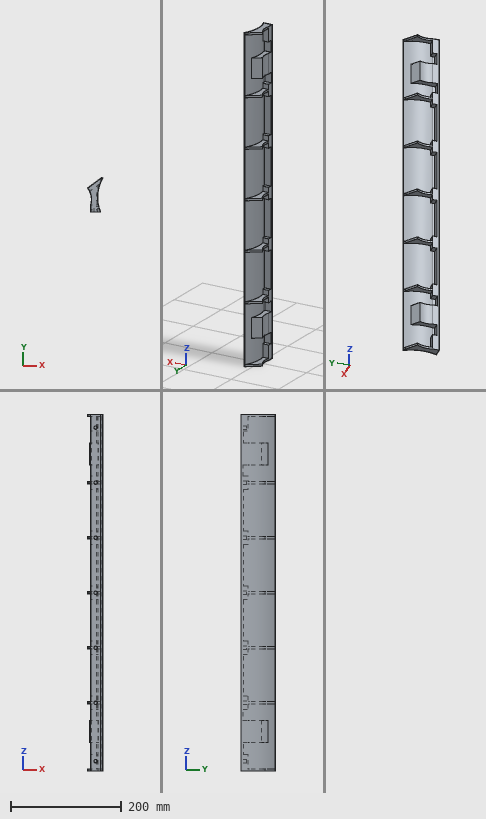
import cadquery as cq
import math

length = 648.0

tip_x = 27.68
inner_radius = 70.0
web_thickness = 2.0
outer_radius = inner_radius + web_thickness
arc_center_y = 27.0
tip_angle = math.radians(30)
arc_center_x = tip_x + inner_radius * math.cos(tip_angle)

block_left_x = 5.4
block_depth = 12.9
lip_depth = 5.0
thin_lip_depth = 3.5
wall_top_y = 9.3

rib_apex = (0.0, 43.7)
rib_edge_radius = 36.0
rib_thickness = 4.0
rib_pitch = 100.0
pad_apex_y = 37.5
pad_top_y = 49.5
pad_length = 40.0
pad_center_from_end = 72.0

rib_block_length = 24.0
end_block_length = 30.0

hole_diameter = 6.0
hole_depth = 10.0
hole_x = 14.5
top_hole_from_end = 24.0
bottom_hole_from_end = 18.0

inner_rib_heights = [length / 2 + i * rib_pitch for i in range(-2, 3)]
pad_heights = [pad_center_from_end, length - pad_center_from_end]


def arc_x(radius, y):
    """X of a web arc at the given Y."""
    return arc_center_x - math.sqrt(radius**2 - (y - arc_center_y) ** 2)


def tip_point(radius):
    """End of a web arc on the radial tip edge."""
    return (
        arc_center_x - radius * math.cos(tip_angle),
        arc_center_y + radius * math.sin(tip_angle),
    )


def web_point(radius, y):
    return (arc_x(radius, y), y)


def rib_edge_center():
    """Center of the concave rib edge that runs from the block corner to the rib apex."""
    chord_x = rib_apex[0] - block_left_x
    chord_y = rib_apex[1] - block_depth
    chord = math.hypot(chord_x, chord_y)
    offset = math.sqrt(rib_edge_radius**2 - (chord / 2) ** 2)
    middle_x = (block_left_x + rib_apex[0]) / 2
    middle_y = (block_depth + rib_apex[1]) / 2
    return (middle_x - offset * chord_y / chord, middle_y + offset * chord_x / chord)


def rib_edge_point(y):
    center_x, center_y = rib_edge_center()
    return (center_x + math.sqrt(rib_edge_radius**2 - (y - center_y) ** 2), y)


wall_x = arc_x(outer_radius, wall_top_y)


def make_web():
    return (
        cq.Workplane("XY")
        .moveTo(wall_x, 0)
        .lineTo(wall_x, wall_top_y)
        .threePointArc(web_point(outer_radius, arc_center_y), tip_point(outer_radius))
        .lineTo(*tip_point(inner_radius))
        .threePointArc(web_point(inner_radius, arc_center_y), web_point(inner_radius, 0))
        .close()
        .extrude(length)
    )


def make_block(depth, bottom, top):
    return (
        cq.Workplane("XY", origin=(0, 0, bottom))
        .moveTo(block_left_x, 0)
        .lineTo(wall_x, 0)
        .lineTo(wall_x, depth)
        .lineTo(block_left_x, depth)
        .close()
        .extrude(top - bottom)
    )


def make_fin(apex, top_y, bottom, height):
    """Plate filling the space between the block, the web and a sloping upper edge."""
    middle_y = (block_depth + apex[1]) / 2
    return (
        cq.Workplane("XY", origin=(0, 0, bottom))
        .moveTo(block_left_x, block_depth)
        .threePointArc(rib_edge_point(middle_y), apex)
        .lineTo(*web_point(outer_radius, top_y))
        .threePointArc(web_point(outer_radius, arc_center_y), (wall_x, wall_top_y))
        .lineTo(block_left_x, wall_top_y)
        .close()
        .extrude(height)
    )


def make_rail():
    """Web with its shallow front lip, thinner between each pad and the nearest inner rib."""
    lip_ends = [0, pad_heights[0], inner_rib_heights[0], inner_rib_heights[-1], pad_heights[-1], length]
    lip_depths = [lip_depth, thin_lip_depth, lip_depth, thin_lip_depth, lip_depth]
    rail = make_web()
    for bottom, top, depth in zip(lip_ends, lip_ends[1:], lip_depths):
        rail = rail.union(make_block(depth, bottom, top))
    return rail


def add_rib(part, bottom):
    rib_top_y = tip_point(outer_radius)[1]
    return part.union(make_fin(rib_apex, rib_top_y, bottom, rib_thickness))


def add_inner_rib(part, z):
    """Rib centered on a full-depth block stretch."""
    half_block = rib_block_length / 2
    part = part.union(make_block(block_depth, z - half_block, z + half_block))
    return add_rib(part, z - rib_thickness / 2)


def add_ends(part):
    """Full-depth block and a flush rib at both ends of the strip."""
    part = part.union(make_block(block_depth, 0, end_block_length))
    part = part.union(make_block(block_depth, length - end_block_length, length))
    part = add_rib(part, 0)
    return add_rib(part, length - rib_thickness)


def add_pad(part, z):
    """Long pad shaped like a rib with its upper part sliced off."""
    bottom = z - pad_length / 2
    part = part.union(make_block(block_depth, bottom, bottom + pad_length))
    return part.union(make_fin(rib_edge_point(pad_apex_y), pad_top_y, bottom, pad_length))


def make_hole(z):
    return (
        cq.Workplane("XZ", origin=(hole_x, 0, z))
        .circle(hole_diameter / 2)
        .extrude(-hole_depth)
    )


body = add_ends(make_rail())
for z in inner_rib_heights:
    body = add_inner_rib(body, z)
for z in pad_heights:
    body = add_pad(body, z)
for z in [bottom_hole_from_end, *inner_rib_heights, length - top_hole_from_end]:
    body = body.cut(make_hole(z))

result = body